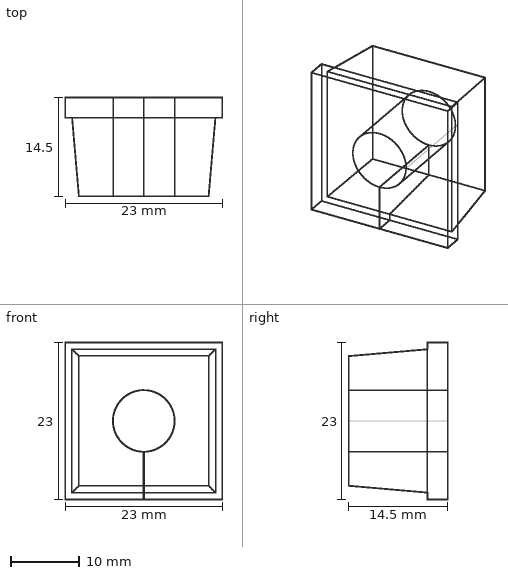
import cadquery as cq

flange_side = 23.0
total_depth = 14.5
flange_thickness = 3.0
plug_base_side = 21.0
plug_tip_side = 19.0
bore_diameter = 9.0
slit_width = 0.01

plug_length = total_depth - flange_thickness


def make_flange():
    """Square flange at the back, its front face on the XZ plane."""
    return cq.Workplane("XZ").rect(flange_side, flange_side).extrude(-flange_thickness)


def make_plug():
    """Square plug tapering from the flange towards -Y."""
    return (
        cq.Workplane("XZ")
        .rect(plug_base_side, plug_base_side)
        .workplane(offset=plug_length)
        .rect(plug_tip_side, plug_tip_side)
        .loft(ruled=True)
    )


def make_bore():
    """Round cable passage through the whole depth."""
    return (
        cq.Workplane("XZ", origin=(0, flange_thickness, 0))
        .circle(bore_diameter / 2)
        .extrude(total_depth)
    )


def make_slit():
    """Thin cut from the bore axis down through the bottom, over the whole depth."""
    slit_height = flange_side / 2
    return (
        cq.Workplane("XZ", origin=(0, flange_thickness, -slit_height / 2))
        .rect(slit_width, slit_height)
        .extrude(total_depth)
    )


result = make_flange().union(make_plug()).cut(make_bore()).cut(make_slit())